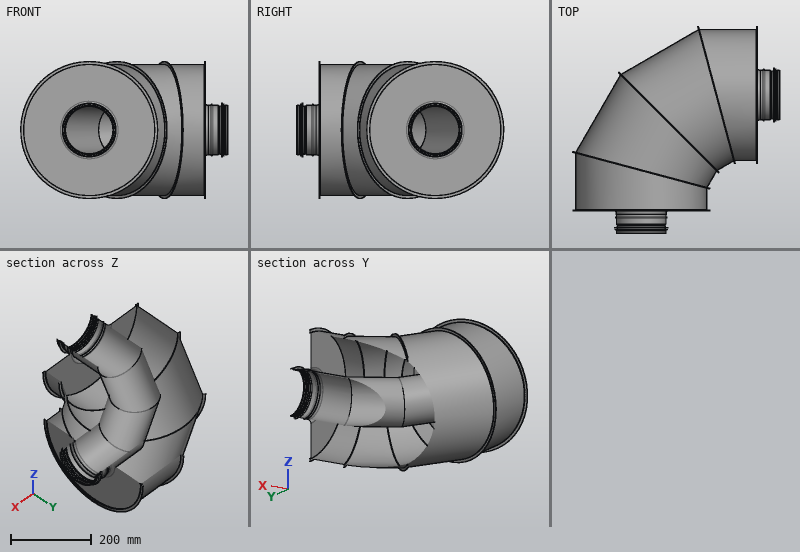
import cadquery as cq
import math


OVERALL_SIZE = 514.5

BEND_RADIUS = 255.0
SEAM_ANGLES = (15.0, 45.0, 75.0)
HALF_GORE = math.radians(15.0)
MOUTH_OFFSET = 33.0

SHEET = 0.5
SHELL_DIAMETER = 326.0
SHELL_BORE = SHELL_DIAMETER - 2 * SHEET
FLANGE_DIAMETER = 340.5
FLANGE_THICKNESS = 2.3

SPIGOT_END = OVERALL_SIZE - BEND_RADIUS - FLANGE_DIAMETER / 2
SPIGOT_LENGTH = SPIGOT_END - MOUTH_OFFSET
PIPE_DIAMETER = 123.5
LEAD_IN_DIAMETER = 122.0
LEAD_IN_LENGTH = 2.0
GROOVE_DIAMETER = 118.5
GROOVE_FRONT = 6.0
GROOVE_BACK = 24.0
GROOVE_TAPER = 2.5
BEAD_STATION = 40.0
BEAD_DIAMETER = 129.0
BEAD_HEIGHT = (BEAD_DIAMETER - PIPE_DIAMETER) / 2
BEAD_ROOT_RADIUS = 1.5
BEAD_CREST_RADIUS = BEAD_HEIGHT - BEAD_ROOT_RADIUS

GASKET_DIAMETER = 120.5
GASKET_FRONT = GROOVE_FRONT + GROOVE_TAPER
GASKET_BACK = 19.5
FRONT_LIP_DIAMETER = 129.5
FRONT_LIP_STATION = 10.5
FRONT_LIP_EDGE = 0.5
BACK_LIP_DIAMETER = 134.0
BACK_LIP_STATION = 14.0
BACK_LIP_THICKNESS = 1.5

CAP_RECESS = 3.0
FLARE_RADIUS = 9.5
COLLAR_LENGTH = 2.0


def seam_vertex(angle):
    """Corner of the segmented centre line on the seam at the given bend angle."""
    reach = BEND_RADIUS / math.cos(HALF_GORE)
    turn = math.radians(180.0 - angle)
    return reach * math.cos(turn), reach * math.sin(turn)


def bend_solid(diameter, end_offset):
    """Solid mitred bend whose straight ends stop at end_offset from the bend centre."""
    corners = [seam_vertex(angle) for angle in SEAM_ANGLES]
    points = [(-BEND_RADIUS, -end_offset), *corners, (end_offset, BEND_RADIUS)]
    path = cq.Workplane("XY").polyline(points)
    start = cq.Workplane(cq.Plane((-BEND_RADIUS, -end_offset, 0), (1, 0, 0), (0, 1, 0)))
    return start.circle(diameter / 2).sweep(path, transition="right")


def mouth_planes(offset):
    """Planes across both straight ends, each with its normal pointing out of the bend."""
    return (
        cq.Plane((-BEND_RADIUS, -offset, 0), (1, 0, 0), (0, -1, 0)),
        cq.Plane((offset, BEND_RADIUS, 0), (0, 1, 0), (1, 0, 0)),
    )


def turned(plane, draw_profile):
    """Revolve a profile, drawn as (radius, station back from the plane), about the plane's normal."""
    section = cq.Workplane(cq.Plane(plane.origin, plane.xDir, plane.xDir.cross(plane.zDir)))
    return draw_profile(section).close().revolve(360, (0, 0), (0, 1))


def seam_rib(angle):
    """Elliptical standing rib lying in the mitre plane between two segments."""
    turn = math.radians(180.0 - angle)
    radial = (math.cos(turn), math.sin(turn), 0)
    along = (-math.sin(turn), math.cos(turn), 0)
    plane = cq.Plane((*seam_vertex(angle), 0), radial, along)
    half_height = FLANGE_DIAMETER / 2
    lean = FLANGE_THICKNESS / 2 * math.sin(HALF_GORE)
    half_width = (half_height - lean) / math.cos(HALF_GORE)
    return cq.Workplane(plane).ellipse(half_width, half_height).extrude(FLANGE_THICKNESS / 2, both=True)


def make_outer_shell():
    """Sheet-metal shell with a rib on every seam and a flange at each mouth."""
    shell = bend_solid(SHELL_DIAMETER, MOUTH_OFFSET)
    for angle in SEAM_ANGLES:
        shell = shell.union(seam_rib(angle))
    for plane in mouth_planes(MOUTH_OFFSET):
        shell = shell.union(cq.Workplane(plane).circle(FLANGE_DIAMETER / 2).extrude(-FLANGE_THICKNESS))
    return shell.cut(bend_solid(SHELL_BORE, MOUTH_OFFSET))


def spigot_envelope(plane, inset):
    """Beaded and grooved spigot, solid to its axis, with its surface moved in by inset."""
    radius = PIPE_DIAMETER / 2 - inset
    groove_radius = GROOVE_DIAMETER / 2 - inset
    crest = BEAD_CREST_RADIUS - inset
    root = BEAD_ROOT_RADIUS + inset
    bead_middle = radius + root
    bead_front = -BEAD_STATION + crest
    bead_back = -BEAD_STATION - crest
    root_mid = root * (1 - math.sqrt(0.5))

    def profile(section):
        return (
            section.moveTo(0, 0)
            .lineTo(LEAD_IN_DIAMETER / 2 - inset, 0)
            .lineTo(radius, -LEAD_IN_LENGTH)
            .lineTo(radius, -GROOVE_FRONT)
            .lineTo(groove_radius, -GROOVE_FRONT - GROOVE_TAPER)
            .lineTo(groove_radius, -GROOVE_BACK + GROOVE_TAPER)
            .lineTo(radius, -GROOVE_BACK)
            .lineTo(radius, bead_front + root)
            .threePointArc((radius + root_mid, bead_front + root_mid), (bead_middle, bead_front))
            .threePointArc((bead_middle + crest, -BEAD_STATION), (bead_middle, bead_back))
            .threePointArc((radius + root_mid, bead_back - root_mid), (radius, bead_back - root))
            .lineTo(radius, -SPIGOT_LENGTH)
            .lineTo(0, -SPIGOT_LENGTH)
        )

    return turned(plane, profile)


def make_inner_pipe():
    """Sheet-metal bend carrying a beaded, grooved spigot at each end."""
    outside = bend_solid(PIPE_DIAMETER, MOUTH_OFFSET)
    inside = bend_solid(PIPE_DIAMETER - 2 * SHEET, MOUTH_OFFSET)
    for plane in mouth_planes(SPIGOT_END):
        outside = outside.union(spigot_envelope(plane, 0))
        inside = inside.union(spigot_envelope(plane, SHEET))
    return outside.cut(inside)


def make_gasket(plane):
    """Band seated in the spigot groove with a tapered front lip and a thin, taller back lip."""
    def profile(section):
        seat = GROOVE_DIAMETER / 2
        body = GASKET_DIAMETER / 2
        return (
            section.moveTo(seat, -GASKET_FRONT)
            .lineTo(body, -GASKET_FRONT)
            .lineTo(FRONT_LIP_DIAMETER / 2, -FRONT_LIP_STATION + FRONT_LIP_EDGE)
            .lineTo(FRONT_LIP_DIAMETER / 2, -FRONT_LIP_STATION)
            .lineTo(body, -FRONT_LIP_STATION)
            .lineTo(body, -BACK_LIP_STATION)
            .lineTo(BACK_LIP_DIAMETER / 2, -BACK_LIP_STATION)
            .lineTo(BACK_LIP_DIAMETER / 2, -BACK_LIP_STATION - BACK_LIP_THICKNESS)
            .lineTo(body, -BACK_LIP_STATION - BACK_LIP_THICKNESS)
            .lineTo(body, -GASKET_BACK)
            .lineTo(seat, -GASKET_BACK)
        )

    return turned(plane, profile)


def make_end_cap(plane):
    """Recessed disc flared outward into a collar round the pipe; stations are from the flange."""
    def profile(section):
        bore = PIPE_DIAMETER / 2
        collar = bore + SHEET
        rim = SHELL_BORE / 2
        face = -CAP_RECESS
        back = face - SHEET
        flare_top = face + FLARE_RADIUS
        collar_top = flare_top + COLLAR_LENGTH
        flare_centre = collar + FLARE_RADIUS
        outer_mid = FLARE_RADIUS * math.sqrt(0.5)
        inner_mid = (FLARE_RADIUS + SHEET) * math.sqrt(0.5)
        return (
            section.moveTo(bore, collar_top)
            .lineTo(collar, collar_top)
            .lineTo(collar, flare_top)
            .threePointArc((flare_centre - outer_mid, flare_top - outer_mid), (flare_centre, face))
            .lineTo(rim, face)
            .lineTo(rim, back)
            .lineTo(flare_centre, back)
            .threePointArc((flare_centre - inner_mid, flare_top - inner_mid), (bore, flare_top))
        )

    return turned(plane, profile)


outer_shell = make_outer_shell()
inner_pipe = make_inner_pipe()
gaskets = [make_gasket(plane) for plane in mouth_planes(SPIGOT_END)]
end_caps = [make_end_cap(plane) for plane in mouth_planes(MOUTH_OFFSET)]

result = cq.Compound.makeCompound(
    [
        outer_shell.val(),
        inner_pipe.val(),
        *[gasket.val() for gasket in gaskets],
        *[cap.val() for cap in end_caps],
    ]
)